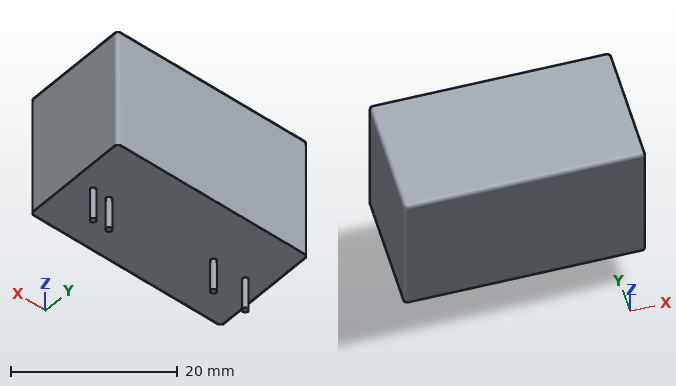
import cadquery as cq

case_length = 30.0
case_width = 16.0
case_height = 19.0
edge_radius = 0.5

pin_diameter = 0.8
pin_length = 5.0
end_pin_inset = 3.0
left_pin_spacing = 5.0
right_pin_spacing = 2.5

first_pin_x = -case_length / 2 + end_pin_inset
last_pin_x = case_length / 2 - end_pin_inset
pin_positions = [
    (first_pin_x, 0),
    (first_pin_x + left_pin_spacing, 0),
    (last_pin_x - right_pin_spacing, 0),
    (last_pin_x, 0),
]


def make_case():
    """Block resting on Z = 0, rounded everywhere except around its underside."""
    block = cq.Workplane("XY").box(
        case_length, case_width, case_height, centered=(True, True, False)
    )
    return block.edges("|Z or >Z").fillet(edge_radius)


def make_pins():
    """Round pins hanging down from the underside of the case."""
    return (
        cq.Workplane("XY")
        .pushPoints(pin_positions)
        .circle(pin_diameter / 2)
        .extrude(-pin_length)
    )


result = make_case().union(make_pins())